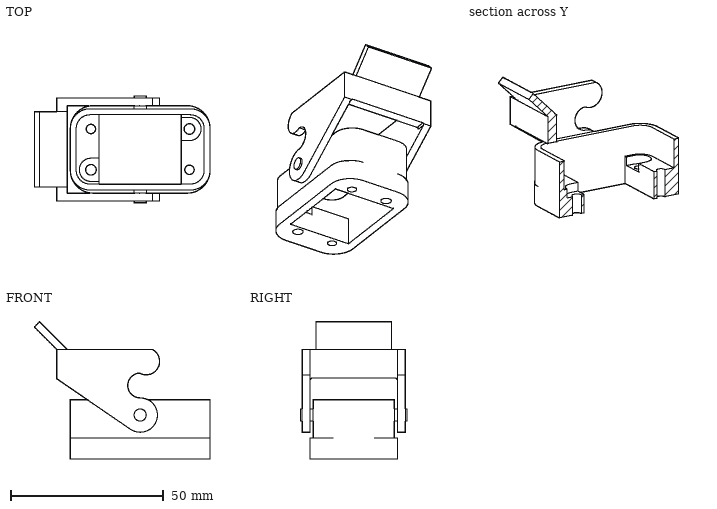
import cadquery as cq
import math


housing_length = 45.95
flange_width = 28.8
flange_height = 7.0
corner_center_y = 6.8
collar_width = 26.65
housing_height = 19.5
wall = 1.95
shelf_height = 9.5

window_length = 26.9
hole_x = 16.15
hole_y = 6.7
fixing_hole_diameter = 3.0
mounting_hole_diameter = 3.4
recess_radius = 3.8
recess_depth = 3.0

lever_width = 33.85
lever_gap = 28.6
lever_top = 36.0
lever_back_x = -27.4
lever_back_bottom = 26.35
bar_thickness = 3.5
bar_bottom = 26.6
corner_chamfer = 0.5
pivot_z = 14.5
lug_radius = 5.65
notch_radius = 4.05
hook_radius = 4.45
hook_x = 1.95
hook_z = 32.1

handle_width = 24.8
handle_top = 45.1
handle_rise = 7.3

pin_diameter = 4.0
pin_span = 35.1


def rounded_block(length, width, radius, bottom, top):
    """Upright block centered on the Z axis, with rounded vertical edges."""
    block = cq.Workplane("XY").workplane(offset=bottom).rect(length, width).extrude(top - bottom)
    return block.edges("|Z").fillet(radius)


def extrude_across(outline, width):
    """Extrude an XZ outline to a full width centered on Y = 0."""
    return outline.extrude(width / 2, both=True)


def make_housing():
    flange_radius = flange_width / 2 - corner_center_y
    collar_radius = collar_width / 2 - corner_center_y
    cavity_length = housing_length - 2 * wall
    cavity_width = collar_width - 2 * wall
    flange = rounded_block(housing_length, flange_width, flange_radius, 0, flange_height)
    collar = rounded_block(housing_length, collar_width, collar_radius, 0, housing_height)
    cavity = rounded_block(
        cavity_length, cavity_width, collar_radius - wall, shelf_height, housing_height
    )
    window = cq.Workplane("XY").rect(window_length, cavity_width).extrude(shelf_height)
    return flange.union(collar).cut(cavity).cut(window)


def cut_shelf_holes(housing):
    """Two holes on each diagonal; the mounting holes sit in recesses open to the window."""
    fixing_points = [(-hole_x, hole_y), (hole_x, -hole_y)]
    mounting_points = [(-hole_x, -hole_y), (hole_x, hole_y)]
    for points, diameter in (
        (fixing_points, fixing_hole_diameter),
        (mounting_points, mounting_hole_diameter),
    ):
        holes = cq.Workplane("XY").pushPoints(points).circle(diameter / 2).extrude(shelf_height)
        housing = housing.cut(holes)

    recess_plane = cq.Workplane("XY").workplane(offset=shelf_height - recess_depth)
    for x, y in mounting_points:
        round_end = recess_plane.center(x, y).circle(recess_radius).extrude(recess_depth)
        mouth = recess_plane.center(x / 2, y).rect(abs(x), 2 * recess_radius).extrude(recess_depth)
        housing = housing.cut(round_end).cut(mouth)
    return housing


def make_lever():
    drop = lever_back_bottom - pivot_z
    reach = math.hypot(lever_back_x, drop)
    tangent_angle = math.atan2(drop, lever_back_x) + math.acos(lug_radius / reach)
    tangent_x = lug_radius * math.cos(tangent_angle)
    tangent_z = pivot_z + lug_radius * math.sin(tangent_angle)

    notch_bottom = pivot_z + lug_radius
    notch_z = notch_bottom + notch_radius
    center_distance = math.hypot(hook_x, hook_z - notch_z)
    cosine = (notch_radius**2 + center_distance**2 - hook_radius**2) / (2 * notch_radius * center_distance)
    crossing_angle = math.atan2(hook_z - notch_z, hook_x) + math.acos(cosine)
    crossing_x = notch_radius * math.cos(crossing_angle)
    crossing_z = notch_z + notch_radius * math.sin(crossing_angle)
    hook_end_x = hook_x + math.sqrt(hook_radius**2 - (lever_top - hook_z) ** 2)

    side_outline = (
        cq.Workplane("XZ")
        .moveTo(lever_back_x, lever_back_bottom)
        .lineTo(tangent_x, tangent_z)
        .threePointArc((lug_radius, pivot_z), (0, notch_bottom))
        .threePointArc((-notch_radius, notch_z), (crossing_x, crossing_z))
        .threePointArc((hook_x + hook_radius, hook_z), (hook_end_x, lever_top))
        .lineTo(lever_back_x, lever_top)
        .close()
    )
    lever = extrude_across(side_outline, lever_width)

    bar_front_x = lever_back_x + bar_thickness
    lever_front_x = max(lug_radius, hook_x + hook_radius)
    front_outline = (
        cq.Workplane("XZ")
        .moveTo(bar_front_x, 0)
        .lineTo(lever_front_x, 0)
        .lineTo(lever_front_x, lever_top)
        .lineTo(bar_front_x, lever_top)
        .close()
    )
    lever = lever.cut(extrude_across(front_outline, lever_gap))

    half_gap = lever_gap / 2
    below_bar = (
        cq.Workplane("YZ")
        .workplane(offset=lever_back_x)
        .moveTo(-half_gap, 0)
        .lineTo(half_gap, 0)
        .lineTo(half_gap, bar_bottom - corner_chamfer)
        .lineTo(half_gap - corner_chamfer, bar_bottom)
        .lineTo(corner_chamfer - half_gap, bar_bottom)
        .lineTo(-half_gap, bar_bottom - corner_chamfer)
        .close()
        .extrude(bar_thickness)
    )
    return lever.cut(below_bar)


def make_handle():
    """Plate rising backward at 45 degrees from the whole top of the crossbar."""
    bar_front_x = lever_back_x + bar_thickness
    outline = (
        cq.Workplane("XZ")
        .moveTo(lever_back_x, lever_top)
        .lineTo(lever_back_x - handle_rise, lever_top + handle_rise)
        .lineTo(bar_front_x - (handle_top - lever_top), handle_top)
        .lineTo(bar_front_x, lever_top)
        .close()
    )
    return extrude_across(outline, handle_width)


def make_pins():
    """One pin on each side, rooted in the collar wall and passing through the lever."""
    pin_profile = cq.Workplane("XZ").center(0, pivot_z).circle(pin_diameter / 2)
    through_pin = extrude_across(pin_profile, pin_span)
    cavity_width = collar_width - 2 * wall
    clear_cavity = cq.Workplane("XY").rect(housing_length, cavity_width).extrude(housing_height)
    return through_pin.cut(clear_cavity)


housing = cut_shelf_holes(make_housing())
lever = make_lever().union(make_handle())
result = housing.union(make_pins()).union(lever)